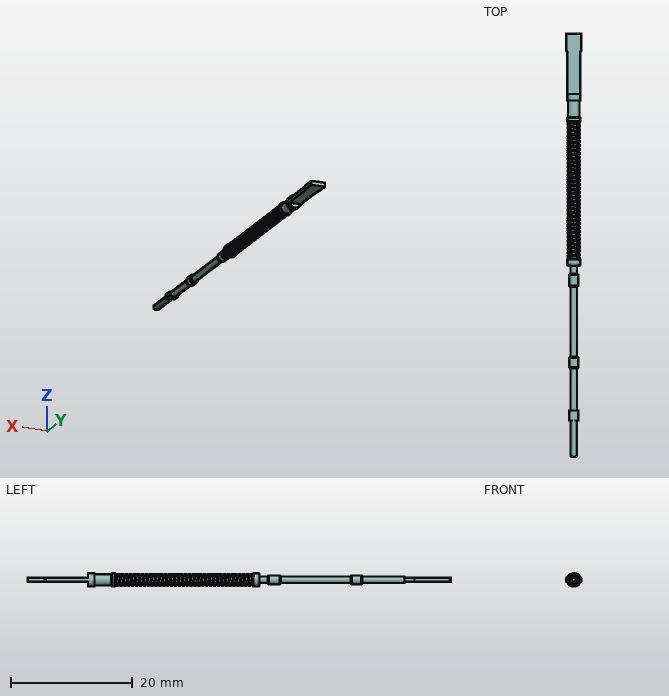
import math

import cadquery as cq

TOTAL_LENGTH = 69.5
TIP_FLAT_END = 6.0
WING_END = 7.65
FRONT_COLLAR_START = 14.5
FRONT_COLLAR_LENGTH = 2.0
REAR_COLLAR_START = 27.9
REAR_COLLAR_LENGTH = 2.2
FLANGE_START = 31.4
FLANGE_END = 32.4
DISC_START = 55.05
DISC_LENGTH = 0.75
HEAD_START = 58.5
TAB_START = 59.6
FLARE_START = 66.45
FLARE_END = 66.75

ROD_RADIUS = 0.55
COLLAR_RADIUS = 0.75
FLANGE_RADIUS = 1.1
BODY_RADIUS = 0.95
TAB_END_RADIUS = 1.25

FLAT_THICKNESS = 0.7
TIP_EDGE_FILLET = 0.3
WING_WIDTH = 1.5

TIP_CHAMFER = 0.2
COLLAR_CHAMFER_LENGTH = 0.25
DISC_CHAMFER_LENGTH = 0.15
FLANGE_FILLET = 0.3

SPRING_OUTER_RADIUS = 1.0
WIRE_RADIUS = 0.21
SPRING_PITCH = 0.64
SPRING_SINK = 0.15
SPRING_START_ANGLE = 180


def slab(start, end, width, thickness):
    """Rectangular block centred on the axis between two stations."""
    block = cq.Workplane("XY").box(width, end - start, thickness)
    return block.translate((0, (start + end) / 2, 0))


def bevelled_ring(start, length, rim_radius, base_radius, bevel_length):
    """Outline points of a ring whose end faces slope from the base up to the rim."""
    end = start + length
    return [
        (start, base_radius),
        (start + bevel_length, rim_radius),
        (end - bevel_length, rim_radius),
        (end, base_radius),
    ]


def collar(start, length):
    return bevelled_ring(start, length, COLLAR_RADIUS, ROD_RADIUS, COLLAR_CHAMFER_LENGTH)


def make_turned_body():
    """All round sections as one revolved outline, from the tip to the end of the tab."""
    fillet_drop = FLANGE_FILLET * (1 - math.sqrt(0.5))
    outline = cq.Workplane("YZ").moveTo(0, 0)
    lead_points = [
        (0, ROD_RADIUS - TIP_CHAMFER),
        (TIP_CHAMFER, ROD_RADIUS),
        *collar(FRONT_COLLAR_START, FRONT_COLLAR_LENGTH),
        *collar(REAR_COLLAR_START, REAR_COLLAR_LENGTH),
        (FLANGE_START, ROD_RADIUS),
        (FLANGE_START, FLANGE_RADIUS - FLANGE_FILLET),
    ]
    for point in lead_points:
        outline = outline.lineTo(*point)
    outline = outline.threePointArc(
        (FLANGE_START + fillet_drop, FLANGE_RADIUS - fillet_drop),
        (FLANGE_START + FLANGE_FILLET, FLANGE_RADIUS),
    )
    rear_points = [
        (FLANGE_END, FLANGE_RADIUS),
        (FLANGE_END, ROD_RADIUS),
        (DISC_START, ROD_RADIUS),
        *bevelled_ring(DISC_START, DISC_LENGTH, FLANGE_RADIUS, BODY_RADIUS, DISC_CHAMFER_LENGTH),
        (HEAD_START, BODY_RADIUS),
        (HEAD_START, FLANGE_RADIUS),
        (FLARE_START, FLANGE_RADIUS),
        (FLARE_END, TAB_END_RADIUS),
        (TOTAL_LENGTH, TAB_END_RADIUS),
        (TOTAL_LENGTH, 0),
    ]
    for point in rear_points:
        outline = outline.lineTo(*point)
    return outline.close().revolve(360, (0, 0), (1, 0))


def cut_flats(body, start, end, keep):
    """Reduce the body between two stations to what lies inside the kept section."""
    stock_size = 2 * (FLANGE_RADIUS + TAB_END_RADIUS)
    stock = slab(start, end, stock_size, stock_size)
    return body.cut(stock.cut(keep))


def flatten_tip(body):
    """Flat contact tip with rounded long edges, ending in wings pressed out of the rod."""
    tip = slab(0, TIP_FLAT_END, 2 * ROD_RADIUS, FLAT_THICKNESS).edges("|Y").fillet(TIP_EDGE_FILLET)
    wings = slab(TIP_FLAT_END, WING_END, WING_WIDTH, FLAT_THICKNESS)
    body = cut_flats(body, 0, TIP_FLAT_END, tip)
    return cut_flats(body, TIP_FLAT_END, WING_END, wings).union(wings)


def flatten_tab(body):
    """Round-sided flat solder tab behind the head."""
    tab = slab(TAB_START, TOTAL_LENGTH, 2 * TAB_END_RADIUS, FLAT_THICKNESS)
    return cut_flats(body, TAB_START, TOTAL_LENGTH, tab)


def make_spring():
    """Left-hand coil whose ends sink into the flange and the disc."""
    start = FLANGE_END - SPRING_SINK
    length = DISC_START + SPRING_SINK - start
    coil_radius = SPRING_OUTER_RADIUS - WIRE_RADIUS
    helix = cq.Wire.makeHelix(SPRING_PITCH, length, coil_radius, lefthand=True)
    profile = cq.Workplane("XZ", origin=(coil_radius, 0, 0)).circle(WIRE_RADIUS)
    coil = profile.sweep(cq.Workplane(obj=helix), isFrenet=True)
    coil = coil.rotate((0, 0, 0), (0, 0, 1), SPRING_START_ANGLE)
    return coil.rotate((0, 0, 0), (1, 0, 0), -90).translate((0, start, 0))


turned_body = make_turned_body()
result = flatten_tab(flatten_tip(turned_body)).union(make_spring())